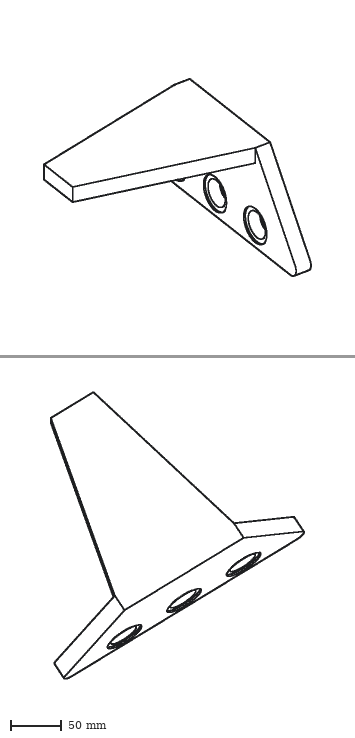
import cadquery as cq
import math

width = 282.2
depth = 207.5
height = 118.0
thickness = 18.0

top_width = 140.0
corner_radius = 10.0

tip_width = 50.0

hole_spacing = 70.0
hole_height = 26.0
hole_diameter = 30.0
bore_diameter = 40.0
bore_depth = 2.0


def make_back_plate():
    """Trapezoid whose sloping sides run tangent into the rounded lower corners."""
    centre_x = width / 2 - corner_radius
    top_x = top_width / 2
    run = centre_x - top_x
    drop = height - corner_radius
    to_top = math.atan2(drop, -run)
    angle = to_top - math.acos(corner_radius / math.hypot(run, drop))
    tangent_x = centre_x + corner_radius * math.cos(angle)
    tangent_z = corner_radius + corner_radius * math.sin(angle)
    middle = (angle - math.pi / 2) / 2
    middle_x = centre_x + corner_radius * math.cos(middle)
    middle_z = corner_radius + corner_radius * math.sin(middle)
    return (
        cq.Workplane("XZ")
        .moveTo(-centre_x, 0)
        .lineTo(centre_x, 0)
        .threePointArc((middle_x, middle_z), (tangent_x, tangent_z))
        .lineTo(top_x, height)
        .lineTo(-top_x, height)
        .lineTo(-tangent_x, tangent_z)
        .threePointArc((-middle_x, middle_z), (-centre_x, 0))
        .close()
        .extrude(thickness)
    )


def make_shelf():
    """Tapered shelf flush with the top of the back plate."""
    return (
        cq.Workplane("XY", origin=(0, 0, height - thickness))
        .moveTo(-top_width / 2, -thickness)
        .lineTo(top_width / 2, -thickness)
        .lineTo(tip_width / 2, -depth)
        .lineTo(-tip_width / 2, -depth)
        .close()
        .extrude(thickness)
    )


def cut_holes(body):
    """Row of through holes, counterbored on both faces of the back plate."""
    positions = [(side * hole_spacing, hole_height) for side in (-1, 0, 1)]
    front_face = cq.Workplane("XZ", origin=(0, -thickness, 0))
    holes = front_face.pushPoints(positions).circle(hole_diameter / 2).extrude(-thickness)
    bores = front_face.pushPoints(positions).circle(bore_diameter / 2).extrude(-bore_depth)
    rear_bores = bores.translate((0, thickness - bore_depth, 0))
    return body.cut(holes).cut(bores).cut(rear_bores)


result = cut_holes(make_back_plate().union(make_shelf()))